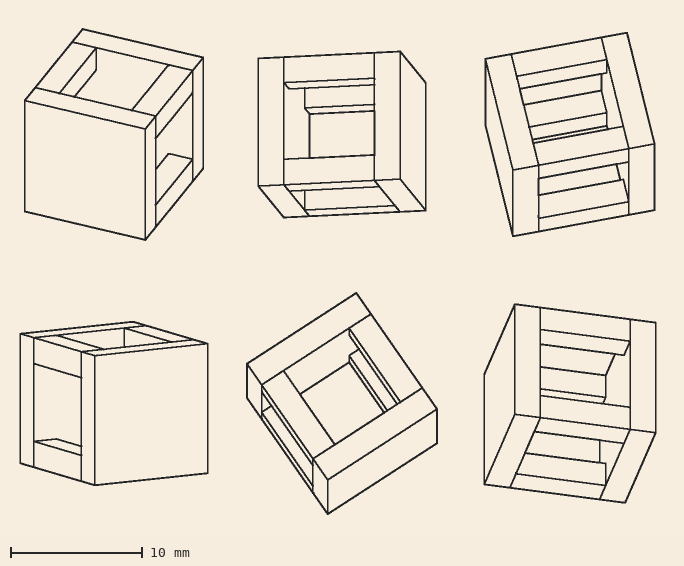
import cadquery as cq

total_length = 11.0
plate_side = 10.0
plate_thickness = 2.0
post_side = 2.0

post_length = total_length - 2 * plate_thickness
plate_offset = (total_length - plate_thickness) / 2
post_offset = (plate_side - post_side) / 2


def make_plate(y_center):
    """Square end plate, centred on the Y axis."""
    return cq.Workplane("XY").box(plate_side, plate_thickness, plate_side).translate((0, y_center, 0))


def make_post(x_center, z_center):
    """Square corner post that spans the gap between the plates."""
    return cq.Workplane("XY").box(post_side, post_length, post_side).translate((x_center, 0, z_center))


plates = []
for y_side in (-1, 1):
    plates.append(make_plate(y_side * plate_offset).val())

posts = []
for x_side in (-1, 1):
    for z_side in (-1, 1):
        posts.append(make_post(x_side * post_offset, z_side * post_offset).val())

result = cq.Compound.makeCompound([*plates, *posts])